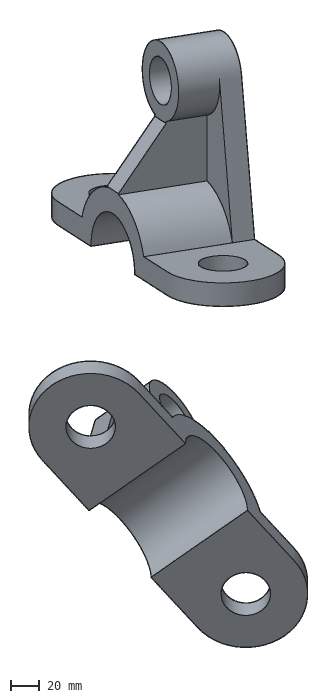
import cadquery as cq
import math

base_length = 259.7
base_width = 86.5
base_thickness = 17.5
base_hole_diameter = 34.5
saddle_inner_radius = 34.5
saddle_outer_radius = 52.0

total_height = 155.8
boss_radius = 28.8
boss_bore_diameter = 34.5
boss_length = 49.3
web_thickness = 17.5
rib_thickness = 18.2

back_y = base_width / 2
front_y = -base_width / 2
hole_spacing = base_length - base_width
boss_center_z = total_height - boss_radius
boss_front_y = back_y - boss_length
web_front_y = back_y - web_thickness
web_foot_x = math.sqrt(saddle_outer_radius**2 - base_thickness**2)


def back_plane():
    """Workplane on the back face, extruding toward the front."""
    return cq.Workplane("XZ", origin=(0, back_y, 0))


def make_base():
    return cq.Workplane("XY").slot2D(base_length, base_width).extrude(base_thickness)


def make_saddle():
    """Half cylinder lying along Y, still solid."""
    return (
        back_plane()
        .moveTo(-saddle_outer_radius, 0)
        .threePointArc((0, saddle_outer_radius), (saddle_outer_radius, 0))
        .close()
        .extrude(base_width)
    )


def make_boss():
    return back_plane().center(0, boss_center_z).circle(boss_radius).extrude(boss_length)


def make_web():
    """Back web whose sloping sides are tangent to the boss."""
    rise = boss_center_z - base_thickness
    foot_distance = math.hypot(web_foot_x, rise)
    foot_angle = math.atan2(-rise, web_foot_x)
    tangent_angle = foot_angle + math.acos(boss_radius / foot_distance)
    tangent_x = boss_radius * math.cos(tangent_angle)
    tangent_z = boss_center_z + boss_radius * math.sin(tangent_angle)
    return (
        back_plane()
        .polyline([
            (-web_foot_x, base_thickness),
            (web_foot_x, base_thickness),
            (tangent_x, tangent_z),
            (-tangent_x, tangent_z),
        ])
        .close()
        .extrude(web_thickness)
    )


def make_rib():
    """Central rib sloping from under the boss to the front edge of the saddle."""
    return (
        cq.Workplane("YZ")
        .polyline([
            (web_front_y, base_thickness),
            (front_y, base_thickness),
            (front_y, saddle_outer_radius),
            (boss_front_y, boss_center_z - boss_radius),
            (boss_front_y, boss_center_z),
            (web_front_y, boss_center_z),
        ])
        .close()
        .extrude(rib_thickness / 2, both=True)
    )


body = make_base().union(make_saddle()).union(make_web()).union(make_rib()).union(make_boss())

saddle_bore = back_plane().circle(saddle_inner_radius).extrude(base_width)
boss_bore = back_plane().center(0, boss_center_z).circle(boss_bore_diameter / 2).extrude(boss_length)
base_holes = (
    cq.Workplane("XY")
    .pushPoints([(-hole_spacing / 2, 0), (hole_spacing / 2, 0)])
    .circle(base_hole_diameter / 2)
    .extrude(base_thickness)
)

result = body.cut(saddle_bore).cut(boss_bore).cut(base_holes)